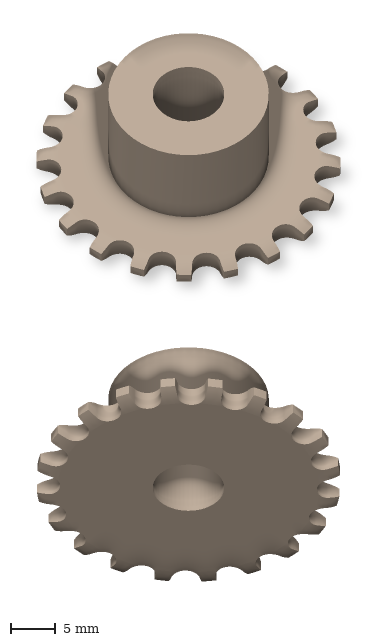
import cadquery as cq
import math

tooth_count = 20
outer_diameter = 34.1
pitch_radius = 16.0
roller_radius = 1.6
plate_thickness = 2.32
tip_thickness = 1.15
tip_width = 1.65
crown_start_radius = 14.65
hub_diameter = 18.0
bore_diameter = 8.0
total_height = 13.0

outer_radius = outer_diameter / 2
tooth_pitch_angle = 360 / tooth_count
half_pitch_angle = math.radians(tooth_pitch_angle / 2)
crown_width = outer_radius - crown_start_radius
crown_drop = (plate_thickness - tip_thickness) / 2
cutter_reach = outer_radius + roller_radius


def crowned_disc():
    """Disc whose rim thins toward the tooth tips along arcs tangent to both faces."""
    crown_radius = (crown_width**2 + crown_drop**2) / (2 * crown_drop)
    return (
        cq.Workplane("XZ")
        .lineTo(crown_start_radius, 0)
        .radiusArc((outer_radius, crown_drop), -crown_radius)
        .lineTo(outer_radius, plate_thickness - crown_drop)
        .radiusArc((crown_start_radius, plate_thickness), -crown_radius)
        .lineTo(0, plate_thickness)
        .close()
        .revolve(360, (0, 0, 0), (0, 1, 0))
    )


def tooth_gap():
    """Cutter for the gap centred on +X: a round roller seat that flows into convex tooth flanks."""
    seat_end = (
        pitch_radius - roller_radius * math.sin(half_pitch_angle),
        roller_radius * math.cos(half_pitch_angle),
    )
    tip_angle = half_pitch_angle - math.asin(tip_width / outer_diameter)
    tip_corner = (outer_radius * math.cos(tip_angle), outer_radius * math.sin(tip_angle))
    half_gap = (
        cq.Workplane("XY")
        .moveTo(pitch_radius - roller_radius, 0)
        .radiusArc(seat_end, roller_radius)
        .tangentArcPoint(tip_corner, relative=False)
        .lineTo(cutter_reach, tip_corner[1])
        .lineTo(cutter_reach, 0)
        .close()
        .extrude(plate_thickness)
    )
    return half_gap.union(half_gap.mirror("XZ"))


result = crowned_disc()

gap = tooth_gap()
for index in range(tooth_count):
    gap_angle = (index + 0.5) * tooth_pitch_angle
    result = result.cut(gap.rotate((0, 0, 0), (0, 0, 1), gap_angle))

hub = cq.Workplane("XY").circle(hub_diameter / 2).extrude(total_height)
bore = cq.Workplane("XY").circle(bore_diameter / 2).extrude(total_height)
result = result.union(hub).cut(bore)